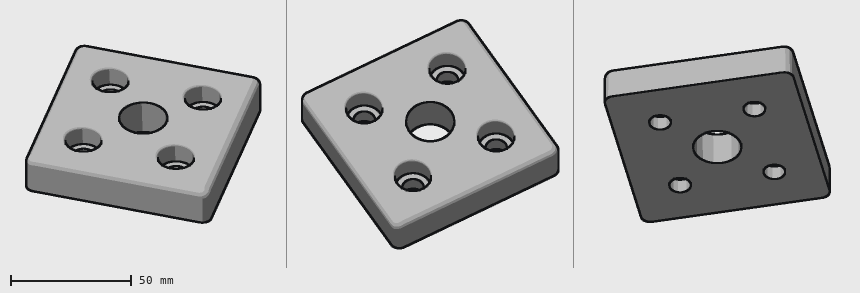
import cadquery as cq

side = 80.0
thickness = 16.0
corner_radius = 4.0
top_edge_radius = 3.0

bore_diameter = 20.0

hole_spacing = side / 2
screw_diameter = 9.0
counterbore_diameter = 15.0
counterbore_depth = 9.0
counterbore_rim_radius = 1.0


def make_plate():
    """Square plate, base on Z = 0, with rounded corners and a rounded top rim."""
    plate = cq.Workplane("XY").rect(side, side).extrude(thickness)
    plate = plate.edges("|Z").fillet(corner_radius)
    return plate.faces(">Z").edges().fillet(top_edge_radius)


def make_bore():
    """Cutter for the central through bore."""
    return cq.Workplane("XY").circle(bore_diameter / 2).extrude(thickness)


def make_screw_hole():
    """Cutter for one screw hole on the Z axis, revolved from its half profile."""
    screw_radius = screw_diameter / 2
    counterbore_radius = counterbore_diameter / 2
    seat_height = thickness - counterbore_depth
    profile = (
        cq.Workplane("XZ")
        .lineTo(screw_radius, 0)
        .lineTo(screw_radius, seat_height)
        .lineTo(counterbore_radius, seat_height)
        .lineTo(counterbore_radius, thickness - counterbore_rim_radius)
        .radiusArc((counterbore_radius + counterbore_rim_radius, thickness), counterbore_rim_radius)
        .lineTo(0, thickness)
        .close()
    )
    return profile.revolve(360, (0, 0), (0, 1))


result = make_plate().cut(make_bore())
for x_sign in (-1, 1):
    for y_sign in (-1, 1):
        hole_position = (x_sign * hole_spacing / 2, y_sign * hole_spacing / 2, 0)
        result = result.cut(make_screw_hole().translate(hole_position))